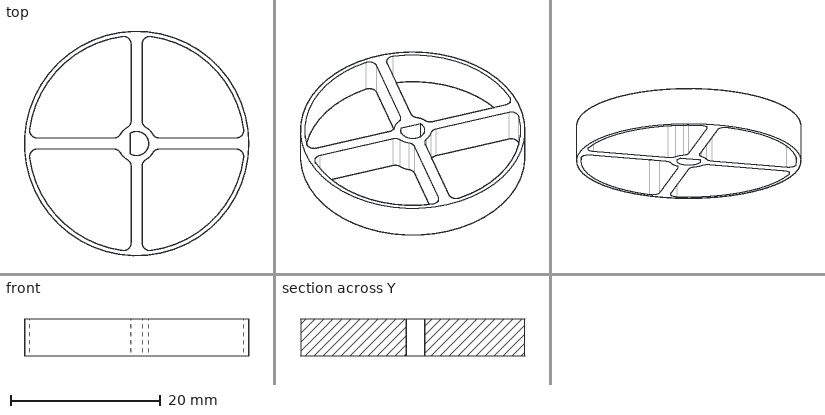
import cadquery as cq

wheel_diameter = 30.0
wheel_width = 5.0
rim_thickness = 0.6
spoke_count = 4
spoke_width = 1.5
hub_diameter = 5.0
corner_radius = 1.0
bore_diameter = 3.2
bore_flat_offset = 0.85

rim_inner_diameter = wheel_diameter - 2 * rim_thickness
spoke_length = wheel_diameter / 2
spoke_pitch = 360 / spoke_count


def disc(diameter):
    """Disc centred on the wheel axis, as thick as the wheel is wide."""
    return cq.Workplane("XY").circle(diameter / 2).extrude(wheel_width)


def bar_along_x(start, length, width):
    """Bar as thick as the wheel is wide, running along +X from start and centred on the X axis."""
    bar = cq.Workplane("XY").box(length, width, wheel_width, centered=(False, True, False))
    return bar.translate((start, 0, 0))


def make_openings():
    """Openings between rim, spokes and hub, with all their corners rounded."""
    openings = disc(rim_inner_diameter).cut(disc(hub_diameter))
    for index in range(spoke_count):
        spoke = bar_along_x(0, spoke_length, spoke_width)
        openings = openings.cut(spoke.rotate((0, 0, 0), (0, 0, 1), index * spoke_pitch))
    return openings.edges("|Z").fillet(corner_radius)


def make_bore():
    """D-shaped through hole with its flat on the -X side."""
    kept_side = bar_along_x(-bore_flat_offset, bore_diameter, bore_diameter)
    return disc(bore_diameter).intersect(kept_side)


result = disc(wheel_diameter).cut(make_openings()).cut(make_bore())